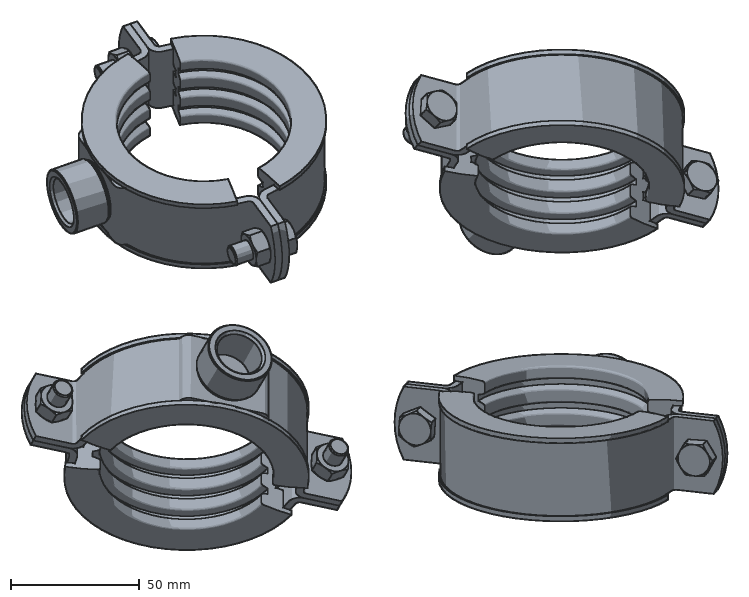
import cadquery as cq
import math


SHEET = 3.1
STRAP_OUTER_R = 46.9
STRAP_INNER_R = STRAP_OUTER_R - SHEET
STRAP_WIDTH = 30.3
TAB_END_X = 67.0
TAB_END_R = 32.4
TAB_BEND_R = 1.9
FLAT_HALF_LENGTH = 14.3
FLAT_BEND_R = 1.1
FLAT_BLEND_R = 0.4

LINER_INNER_R = 33.9
LINER_OUTER_R = 47.6
LINER_CROWN_R = 40.7
LINER_WIDTH = 35.0
LINER_CROWN_RISE = 0.3
LINER_CROWN_Z = LINER_WIDTH / 2
LINER_EDGE_Z = LINER_CROWN_Z - LINER_CROWN_RISE
LINER_END_ANGLE = 11.2
RIB_PITCH = 9.9
RIB_ROUND = 1.0
GROOVE_FLOOR_R = 36.8
GROOVE_FLOOR_WIDTH = 2.4
GROOVE_SIDE_ANGLE = 20.0
HOLLOW_FLOOR_R = 40.5
HOLLOW_WIDTH = 3.8

BOLT_X = 57.0
BOLT_D = 8.0
BOLT_TIP_Y = -17.0
BOLT_TIP_CHAMFER = 0.5
HEX_FLATS = 13.0
HEX_CORNERS = HEX_FLATS / math.cos(math.radians(30))
HEX_CHAMFER_ANGLE = 30.0
HEAD_HEIGHT = 5.4
NUT_HEIGHT = 6.4
NUT_TURN = 30.0
LEFT_BOLT_TURN = -2.5
RIGHT_BOLT_TURN = LEFT_BOLT_TURN + 36.0

SOCKET_D = 26.4
SOCKET_END_Y = -62.0
SOCKET_NECK_D = 24.8
SOCKET_NECK_LENGTH = 0.7
SOCKET_END_CHAMFER = 0.4
SOCKET_BORE_D = 18.5
SOCKET_BORE_CHAMFER = 1.1

AXIS = (0.0, 0.0)


def on_circle(center, radius, target):
    """Point of the circle that lies from its center towards the target."""
    reach = math.dist(center, target)
    return tuple(c + radius * (t - c) / reach for c, t in zip(center, target))


def arc_middle(center, radius, start, end):
    """Middle point of the shorter arc from start to end."""
    chord_middle = ((start[0] + end[0]) / 2, (start[1] + end[1]) / 2)
    return on_circle(center, radius, chord_middle)


def arc_to(sketch, center, radius, start, end):
    """Extend the sketch, which stands at start, with the shorter arc to end."""
    return sketch.threePointArc(arc_middle(center, radius, start, end), end)


def tab_bend_center():
    y = SHEET + TAB_BEND_R
    return (math.sqrt((STRAP_OUTER_R + TAB_BEND_R) ** 2 - y ** 2), y)


def flat_bend_centers():
    """Centers of the bend at the end of the flat and of the reverse bend."""
    bend = (FLAT_HALF_LENGTH, STRAP_OUTER_R - SHEET - FLAT_BEND_R)
    bend_reach = math.dist(AXIS, bend)
    blend_reach = STRAP_OUTER_R + FLAT_BLEND_R
    gap = FLAT_BEND_R + SHEET + FLAT_BLEND_R
    between = math.acos((bend_reach ** 2 + blend_reach ** 2 - gap ** 2) / (2 * bend_reach * blend_reach))
    angle = math.atan2(bend[1], bend[0]) - between
    return bend, (blend_reach * math.cos(angle), blend_reach * math.sin(angle))


def half_strap(has_flat):
    """The x > 0 half of the strap that lies on the y > 0 side."""
    tab_bend = tab_bend_center()
    ring_in = on_circle(AXIS, STRAP_INNER_R, tab_bend)
    ring_out = on_circle(AXIS, STRAP_OUTER_R, tab_bend)
    tab_in = (tab_bend[0], 0.0)
    tab_out = (tab_bend[0], SHEET)
    top_in = (0.0, STRAP_INNER_R)
    top_out = (0.0, STRAP_OUTER_R)
    bend, blend = flat_bend_centers()

    sketch = cq.Workplane("XY", origin=(0, 0, -STRAP_WIDTH / 2)).moveTo(*top_in)
    ring_start = top_in
    if has_flat:
        flat_end = (bend[0], STRAP_INNER_R)
        bend_end = on_circle(bend, FLAT_BEND_R, blend)
        ring_start = on_circle(AXIS, STRAP_INNER_R, blend)
        sketch = sketch.lineTo(*flat_end)
        sketch = arc_to(sketch, bend, FLAT_BEND_R, flat_end, bend_end)
        sketch = arc_to(sketch, blend, FLAT_BLEND_R + SHEET, bend_end, ring_start)
    sketch = arc_to(sketch, AXIS, STRAP_INNER_R, ring_start, ring_in)
    sketch = arc_to(sketch, tab_bend, TAB_BEND_R + SHEET, ring_in, tab_in)
    sketch = sketch.lineTo(TAB_END_X, 0).lineTo(TAB_END_X, SHEET).lineTo(*tab_out)
    sketch = arc_to(sketch, tab_bend, TAB_BEND_R, tab_out, ring_out)
    if has_flat:
        flat_end = (bend[0], STRAP_OUTER_R)
        bend_end = on_circle(bend, FLAT_BEND_R + SHEET, blend)
        ring_start = on_circle(AXIS, STRAP_OUTER_R, blend)
        sketch = arc_to(sketch, AXIS, STRAP_OUTER_R, ring_out, ring_start)
        sketch = arc_to(sketch, blend, FLAT_BLEND_R, ring_start, bend_end)
        sketch = arc_to(sketch, bend, FLAT_BEND_R + SHEET, bend_end, flat_end)
        sketch = sketch.lineTo(*top_out)
    else:
        sketch = arc_to(sketch, AXIS, STRAP_OUTER_R, ring_out, top_out)
    return sketch.close().extrude(STRAP_WIDTH)


def tab_end_envelope():
    """Block whose two X ends are rounded like the tab ends."""
    half_width = STRAP_WIDTH / 2
    corner_x = TAB_END_X - TAB_END_R + math.sqrt(TAB_END_R ** 2 - half_width ** 2)
    return (
        cq.Workplane("XZ")
        .moveTo(-corner_x, -half_width)
        .lineTo(corner_x, -half_width)
        .threePointArc((TAB_END_X, 0), (corner_x, half_width))
        .lineTo(-corner_x, half_width)
        .threePointArc((-TAB_END_X, 0), (-corner_x, -half_width))
        .close()
        .extrude(LINER_OUTER_R, both=True)
    )


def make_strap(has_flat):
    half = half_strap(has_flat)
    bolt_holes = (
        cq.Workplane("XZ")
        .pushPoints([(-BOLT_X, 0), (BOLT_X, 0)])
        .circle(BOLT_D / 2)
        .extrude(2 * SHEET, both=True)
    )
    return half.union(half.mirror("YZ")).intersect(tab_end_envelope()).cut(bolt_holes)


LINER_SWEEP = 180 - 2 * LINER_END_ANGLE


def liner_sweep(profile):
    """Turn an (r, z) profile about the ring axis over one liner."""
    turned = profile.close().revolve(LINER_SWEEP, (0, 0), (0, 1))
    return turned.rotate((0, 0, 0), (0, 0, 1), LINER_END_ANGLE)


def liner_blank():
    flange_z = STRAP_WIDTH / 2
    round_r = LINER_INNER_R + RIB_ROUND
    round_z = LINER_EDGE_Z - RIB_ROUND
    middle_r, middle_z = arc_middle(
        (round_r, round_z), RIB_ROUND, (LINER_INNER_R, round_z), (round_r, LINER_EDGE_Z)
    )
    return liner_sweep(
        cq.Workplane("XZ")
        .moveTo(LINER_INNER_R, -round_z)
        .lineTo(LINER_INNER_R, round_z)
        .threePointArc((middle_r, middle_z), (round_r, LINER_EDGE_Z))
        .lineTo(LINER_CROWN_R, LINER_CROWN_Z)
        .lineTo(LINER_OUTER_R, LINER_EDGE_Z)
        .lineTo(LINER_OUTER_R, flange_z)
        .lineTo(STRAP_INNER_R, flange_z)
        .lineTo(STRAP_INNER_R, -flange_z)
        .lineTo(LINER_OUTER_R, -flange_z)
        .lineTo(LINER_OUTER_R, -LINER_EDGE_Z)
        .lineTo(LINER_CROWN_R, -LINER_CROWN_Z)
        .lineTo(round_r, -LINER_EDGE_Z)
        .threePointArc((middle_r, -middle_z), (LINER_INNER_R, -round_z))
    )


def bore_groove(z):
    """Tapered groove between two ribs, its mouth flared by the rib rounding."""
    slope = math.radians(GROOVE_SIDE_ANGLE)
    floor = GROOVE_FLOOR_WIDTH / 2
    round_r = LINER_INNER_R + RIB_ROUND
    mouth = floor + (GROOVE_FLOOR_R - round_r) * math.tan(slope) + RIB_ROUND / math.cos(slope)
    side_end_r = round_r - RIB_ROUND * math.sin(slope)
    side_end = mouth - RIB_ROUND * math.cos(slope)
    middle_r, middle = arc_middle((round_r, mouth), RIB_ROUND, (LINER_INNER_R, mouth), (side_end_r, side_end))
    return liner_sweep(
        cq.Workplane("XZ")
        .moveTo(LINER_INNER_R, z - mouth)
        .threePointArc((middle_r, z - middle), (side_end_r, z - side_end))
        .lineTo(GROOVE_FLOOR_R, z - floor)
        .lineTo(GROOVE_FLOOR_R, z + floor)
        .lineTo(side_end_r, z + side_end)
        .threePointArc((middle_r, z + middle), (LINER_INNER_R, z + mouth))
    )


def back_hollow(z):
    return liner_sweep(
        cq.Workplane("XZ")
        .moveTo(HOLLOW_FLOOR_R, z - HOLLOW_WIDTH / 2)
        .lineTo(STRAP_INNER_R, z - HOLLOW_WIDTH / 2)
        .lineTo(STRAP_INNER_R, z + HOLLOW_WIDTH / 2)
        .lineTo(HOLLOW_FLOOR_R, z + HOLLOW_WIDTH / 2)
    )


def make_liner():
    """Liner on the y > 0 side."""
    liner = liner_blank()
    for step in (-1, 0, 1):
        liner = liner.cut(bore_groove(step * RIB_PITCH))
    for side in (-1, 1):
        liner = liner.cut(back_hollow(side * RIB_PITCH / 2))
    return liner


def chamfer_cone(length, both_ends):
    """Turned blank along +Z that takes the corners off a hexagon's ends."""
    flat_r = HEX_FLATS / 2
    corner_r = HEX_CORNERS / 2
    drop = (corner_r - flat_r) * math.tan(math.radians(HEX_CHAMFER_ANGLE))
    profile = cq.Workplane("XZ").lineTo(flat_r if both_ends else corner_r, 0)
    if both_ends:
        profile = profile.lineTo(corner_r, drop)
    profile = profile.lineTo(corner_r, length - drop).lineTo(flat_r, length).lineTo(0, length)
    return profile.close().revolve(360, (0, 0), (0, 1))


def hexagon(length, both_ends):
    """Hexagon along +Z with corners on the X axis."""
    prism = cq.Workplane("XY").polygon(6, HEX_CORNERS).extrude(length)
    return prism.intersect(chamfer_cone(length, both_ends))


def along_y(body, turn):
    """Turn a body about Z, then lay its +Z axis along +Y."""
    turned = body.rotate((0, 0, 0), (0, 0, 1), -turn)
    return turned.rotate((0, 0, 0), (1, 0, 0), -90)


def make_bolt(x, turn):
    shank_length = SHEET - BOLT_TIP_Y
    shank = (
        cq.Workplane("XY")
        .circle(BOLT_D / 2)
        .extrude(-shank_length)
        .faces("<Z")
        .chamfer(BOLT_TIP_CHAMFER)
    )
    bolt = hexagon(HEAD_HEIGHT, both_ends=False).union(shank)
    return along_y(bolt, turn).translate((x, SHEET, 0))


def make_nut(x):
    hole = cq.Workplane("XY").circle(BOLT_D / 2).extrude(NUT_HEIGHT)
    nut = hexagon(NUT_HEIGHT, both_ends=True).cut(hole)
    return along_y(nut, NUT_TURN).translate((x, -SHEET - NUT_HEIGHT, 0))


def make_socket():
    """Turned sleeve whose necked end stands on the flat of the front strap."""
    length = -SOCKET_END_Y - STRAP_OUTER_R
    outer_r = SOCKET_D / 2
    neck_r = SOCKET_NECK_D / 2
    bore_r = SOCKET_BORE_D / 2
    sleeve = (
        cq.Workplane("XY")
        .moveTo(bore_r, 0)
        .lineTo(neck_r, 0)
        .lineTo(neck_r, -SOCKET_NECK_LENGTH)
        .lineTo(outer_r, -SOCKET_NECK_LENGTH - (outer_r - neck_r))
        .lineTo(outer_r, -length + SOCKET_END_CHAMFER)
        .lineTo(outer_r - SOCKET_END_CHAMFER, -length)
        .lineTo(bore_r + SOCKET_BORE_CHAMFER, -length)
        .lineTo(bore_r, -length + SOCKET_BORE_CHAMFER)
        .close()
        .revolve(360, (0, 0), (0, 1))
    )
    return sleeve.translate((0, -STRAP_OUTER_R, 0))


back_strap = make_strap(has_flat=False)
front_strap = make_strap(has_flat=True).mirror("XZ")
liner = make_liner()
liners = [liner, liner.mirror("XZ")]
bolts = [make_bolt(x, turn) for x, turn in ((-BOLT_X, LEFT_BOLT_TURN), (BOLT_X, RIGHT_BOLT_TURN))]
nuts = [make_nut(x) for x in (-BOLT_X, BOLT_X)]
socket = make_socket()

bodies = [back_strap, front_strap, *liners, *bolts, *nuts, socket]
result = cq.Compound.makeCompound([body.solids().val() for body in bodies])